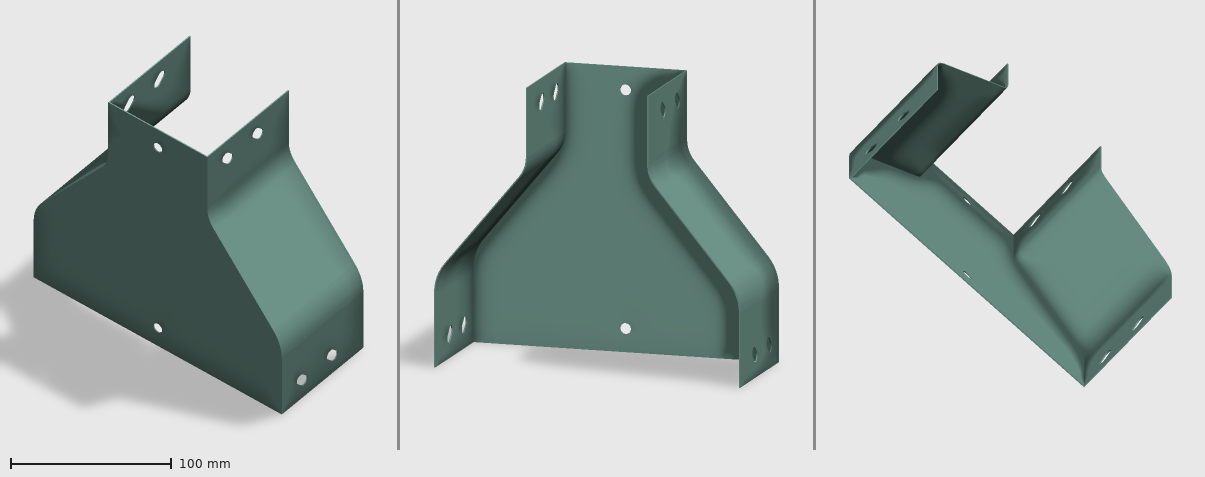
import cadquery as cq

base_width = 200.0
neck_width = 80.0
height = 182.0
depth = 80.0
sheet = 0.8

shoulder_z = 58.5
neck_z = 130.5
shoulder_radius = 30.0
neck_radius = 20.0

hole_diameter = 7.0
edge_distance = 15.0
hole_heights = (edge_distance, height - edge_distance)

slot_width = 7.0
slot_length = 12.0
slot_angle = 45.0
slot_positions_y = (20.0, 49.5)


def funnel():
    """Solid block with the rounded funnel outline of the part."""
    half_base = base_width / 2
    half_neck = neck_width / 2
    right_side = [
        (half_base, 0),
        (half_base, shoulder_z),
        (half_neck, neck_z),
        (half_neck, height),
    ]
    left_side = [(-x, z) for x, z in reversed(right_side)]
    block = cq.Workplane("XZ").polyline(right_side + left_side).close().extrude(-depth)
    bends = ((half_base, shoulder_z, shoulder_radius), (half_neck, neck_z, neck_radius))
    for x, z, radius in bends:
        for side in (-1, 1):
            corner = cq.selectors.NearestToPointSelector((side * x, depth / 2, z))
            block = block.edges(corner).fillet(radius)
    return block


def plate_holes():
    """Round holes on the centre line of the plate."""
    centres = [(0, z) for z in hole_heights]
    return cq.Workplane("XZ").pushPoints(centres).circle(hole_diameter / 2).extrude(-2 * sheet)


def wall_slots(side):
    """Diagonal slots through one wall (side -1 or 1); the two walls slant opposite ways."""
    centres = [(y, z) for y in slot_positions_y for z in hole_heights]
    return (
        cq.Workplane("YZ")
        .pushPoints(centres)
        .slot2D(slot_length, slot_width, -side * slot_angle)
        .extrude(side * base_width)
    )


shell = funnel().faces("<Z or >Z or >Y").shell(-sheet)
result = shell.cut(plate_holes()).cut(wall_slots(-1)).cut(wall_slots(1))